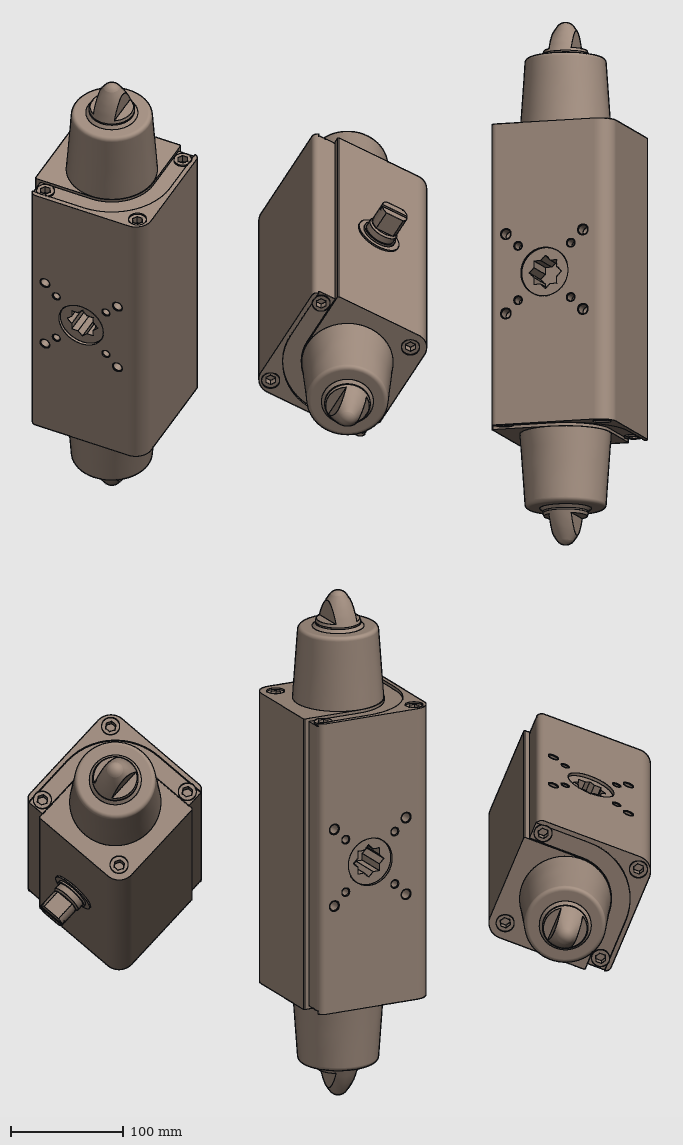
import cadquery as cq
import math


near_side = 56.0
far_side = 62.0
shelf_side = 50.5
raised_reach = 41.2
big_corner_radius = 15.0
small_corner_radius = 5.5
step_chamfer = 1.0
housing_length = 273.0
housing_end = housing_length / 2

recess_depth = 3.0
recess_reach = 58.0

screw_near = 41.2
screw_far = 50.2
screw_head_diameter = 16.0
screw_head_sink = 1.5
screw_hex_flats = 8.5
screw_hex_depth = 7.0

cap_base_radius = 41.0
cap_top_radius = 36.0
cap_top_z = 204.0
cap_edge_radius = 4.0
collar_radius = 20.5
collar_flare = 3.0
collar_top_z = 208.0
nose_mid_radius = 14.0
nose_mid_z = 222.5
nose_end_radius = 7.0
nose_end_z = 233.5
tip_z = 237.0
nose_width = 21.0
nose_flat_z = 211.0

outer_hole_diameter = 8.5
outer_hole_offset = 36.0
inner_hole_diameter = 6.5
inner_hole_offset = 24.5
mouth_chamfer = 0.7
mounting_hole_depth = 14.0
drill_tip_angle = 118.0

shaft_sink = 3.0
shaft_start_y = shaft_sink - far_side
journal_diameter = 44.0
washer_diameter = 41.0
washer_end_y = 57.5
flange_diameter = 31.5
flange_end_y = 59.2
neck_diameter = 28.0
neck_end_y = 67.5
neck_chamfer = 2.0
tip_diameter = 25.5
tip_flats = 19.0
shaft_end_y = 86.0
slot_width = 3.5
slot_depth = 4.0
star_square = 21.5
star_depth = 33.0


def housing_block():
    """Stepped prism along Z with rounded outer corners."""
    outline = [
        (-near_side, near_side),
        (raised_reach, near_side),
        (raised_reach, shelf_side),
        (far_side, shelf_side),
        (far_side, -far_side),
        (-shelf_side, -far_side),
        (-shelf_side, -raised_reach),
        (-near_side, -raised_reach),
    ]

    def edge_at(x, y):
        reach = 0.5
        return cq.selectors.BoxSelector((x - reach, y - reach, -reach), (x + reach, y + reach, reach))

    block = cq.Workplane("XY").polyline(outline).close().extrude(housing_end, both=True)
    for x, y in [(-near_side, near_side), (far_side, -far_side)]:
        block = block.edges(edge_at(x, y)).fillet(big_corner_radius)
    for x, y in [(far_side, shelf_side), (-shelf_side, -far_side)]:
        block = block.edges(edge_at(x, y)).fillet(small_corner_radius)
    for x, y in [(raised_reach, near_side), (-near_side, -raised_reach)]:
        block = block.edges(edge_at(x, y)).chamfer(step_chamfer)
    return block


def rounded_quadrant(reach, height):
    """Prism reaching past the -X and +Y faces, with its (+X, -Y) corner rounded about the cap axis."""
    outer = 2 * far_side
    arc_point = reach * math.sqrt(0.5)
    return (
        cq.Workplane("XY")
        .moveTo(-outer, outer)
        .lineTo(-outer, -reach)
        .lineTo(0, -reach)
        .threePointArc((arc_point, -arc_point), (reach, 0))
        .lineTo(reach, outer)
        .close()
        .extrude(height)
    )


def end_recess():
    """L-shaped channel in the +Z end face, around the raised quadrant."""
    channel = rounded_quadrant(recess_reach, recess_depth).cut(rounded_quadrant(raised_reach, recess_depth))
    return channel.translate((0, 0, housing_end - recess_depth))


def screw_prisms(section, bottom_z, top_z):
    """Copies of a flat section at the four screws, extruded between two heights."""
    places = [(x, y) for x in (-screw_near, screw_far) for y in (screw_near, -screw_far)]
    prisms = cq.Workplane("XY", origin=(0, 0, bottom_z)).pushPoints(places)
    return prisms.placeSketch(section).extrude(top_z - bottom_z)


def finish_end_face(block):
    """Recess the +Z end face and set four socket screw heads in it, all at one height."""
    head_z = housing_end - screw_head_sink
    head_circle = cq.Sketch().circle(screw_head_diameter / 2)
    socket_hexagon = cq.Sketch().regularPolygon(screw_hex_flats / math.sqrt(3), 6, 90)
    heads = screw_prisms(head_circle, housing_end - recess_depth, head_z)
    head_pockets = screw_prisms(head_circle, head_z, housing_end)
    sockets = screw_prisms(socket_hexagon, head_z - screw_hex_depth, head_z)
    return block.cut(end_recess()).union(heads).cut(head_pockets).cut(sockets)


def end_cap():
    """Tapered cap on the +Z end, with a round nose cut to two parallel flats."""
    recess_floor = housing_end - recess_depth
    cap = (
        cq.Workplane("XZ")
        .moveTo(0, recess_floor)
        .lineTo(cap_base_radius, recess_floor)
        .lineTo(cap_base_radius, housing_end)
        .lineTo(cap_top_radius, cap_top_z)
        .lineTo(0, cap_top_z)
        .close()
        .revolve(360, (0, 0), (0, 1))
        .faces(">Z")
        .edges()
        .fillet(cap_edge_radius)
    )
    tip_rise = tip_z - nose_end_z
    tip_radius = (nose_end_radius**2 + tip_rise**2) / (2 * tip_rise)
    tip_half_angle = math.asin(nose_end_radius / tip_radius) / 2
    tip_middle = (
        tip_radius * math.sin(tip_half_angle),
        tip_z - tip_radius * (1 - math.cos(tip_half_angle)),
    )
    nose = (
        cq.Workplane("XZ")
        .moveTo(0, cap_top_z)
        .lineTo(collar_radius + collar_flare, cap_top_z)
        .lineTo(collar_radius, cap_top_z + collar_flare)
        .lineTo(collar_radius, collar_top_z)
        .threePointArc((nose_mid_radius, nose_mid_z), (nose_end_radius, nose_end_z))
        .threePointArc(tip_middle, (0, tip_z))
        .close()
        .revolve(360, (0, 0), (0, 1))
    )
    flat_height = tip_z - nose_flat_z
    side_cut = cq.Workplane("XY").box(
        collar_radius, 2 * collar_radius, flat_height, centered=(False, True, False)
    )
    for side_x in (nose_width / 2, -nose_width / 2 - collar_radius):
        nose = nose.cut(side_cut.translate((side_x, 0, nose_flat_z)))
    return cap.union(nose)


def mounting_holes(diameter, offset):
    """Four blind, chamfered holes with drill tips, bored from the -Y face."""
    radius = diameter / 2
    tip_length = radius / math.tan(math.radians(drill_tip_angle / 2))
    bottom_y = mounting_hole_depth - far_side
    hole = (
        cq.Workplane("XY")
        .moveTo(0, -far_side)
        .lineTo(radius + mouth_chamfer, -far_side)
        .lineTo(radius, mouth_chamfer - far_side)
        .lineTo(radius, bottom_y)
        .lineTo(0, bottom_y + tip_length)
        .close()
        .revolve(360, (0, 0), (0, 1))
    )
    holes = cq.Workplane("XY")
    for x in (-offset, offset):
        for z in (-offset, offset):
            holes = holes.add(hole.translate((x, 0, z)))
    return holes.combine()


def shaft_blank():
    """Stepped round shaft along Y; its journal narrows at the cap axis plane."""
    return (
        cq.Workplane("XY")
        .moveTo(0, shaft_start_y)
        .lineTo(journal_diameter / 2, shaft_start_y)
        .lineTo(journal_diameter / 2, 0)
        .lineTo(washer_diameter / 2, 0)
        .lineTo(washer_diameter / 2, washer_end_y)
        .lineTo(flange_diameter / 2, washer_end_y)
        .lineTo(flange_diameter / 2, flange_end_y)
        .lineTo(neck_diameter / 2, flange_end_y)
        .lineTo(neck_diameter / 2, neck_end_y - neck_chamfer)
        .lineTo(neck_diameter / 2 - neck_chamfer, neck_end_y)
        .lineTo(tip_diameter / 2, neck_end_y)
        .lineTo(tip_diameter / 2, shaft_end_y)
        .lineTo(0, shaft_end_y)
        .close()
        .revolve(360, (0, 0), (0, 1))
    )


def make_shaft():
    """Shaft with two flats and a driver slot at its tip and a star socket in its sunk end."""
    tip_length = shaft_end_y - neck_end_y
    flats = (
        cq.Workplane("XY")
        .box(2 * tip_diameter, tip_length, 2 * tip_diameter, centered=(True, False, True))
        .cut(cq.Workplane("XY").box(2 * tip_diameter, 2 * tip_length, tip_flats))
        .translate((0, neck_end_y, 0))
    )
    slot = cq.Workplane("XY").box(2 * tip_diameter, slot_depth, slot_width, centered=(True, False, True))
    shaft = shaft_blank().cut(flats).cut(slot.translate((0, shaft_end_y - slot_depth, 0)))
    square = cq.Workplane("XY").box(star_square, star_depth, star_square, centered=(True, False, True))
    for angle in (0, 45):
        socket = square.rotate((0, 0, 0), (0, 1, 0), angle)
        shaft = shaft.cut(socket.translate((0, shaft_start_y, 0)))
    return shaft


def make_housing():
    """Housing block with both end caps, bored to fit the shaft."""
    housing = finish_end_face(housing_block())
    housing = finish_end_face(housing.mirror("XY"))
    cap = end_cap()
    housing = housing.union(cap).union(cap.mirror("XY"))
    housing = housing.cut(mounting_holes(outer_hole_diameter, outer_hole_offset))
    housing = housing.cut(mounting_holes(inner_hole_diameter, inner_hole_offset))
    bore_mouth = (
        cq.Workplane("XZ", origin=(0, shaft_start_y, 0))
        .circle(journal_diameter / 2)
        .extrude(shaft_sink)
    )
    return housing.cut(shaft_blank()).cut(bore_mouth)


housing = make_housing()
shaft = make_shaft()

result = cq.Compound.makeCompound([housing.val(), shaft.val()])